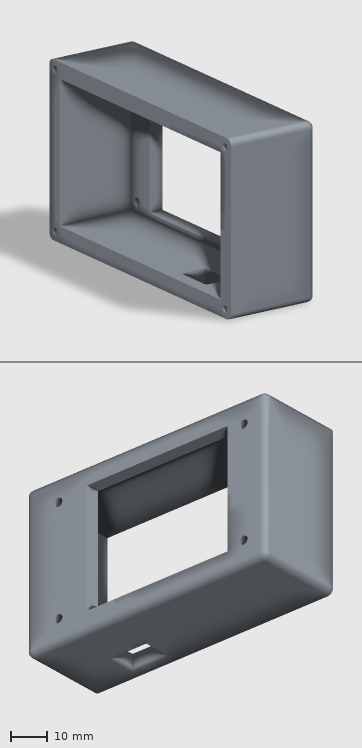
import cadquery as cq

length = 88.0
depth = 28.5
height = 52.8
edge_radius = 2.0

end_wall = 5.0
side_wall = 4.9
back_thickness = 4.5
cavity_length = length - 2 * end_wall
cavity_height = height - 2 * side_wall
cavity_depth = depth - back_thickness

window_left = -30.1
window_length = 51.6
window_height = 39.6
window_center_z = 0.1

mount_diameter = 2.8
mount_spacing_x = 68.0
mount_spacing_z = 36.7
mount_center_x = -2.0

screw_diameter = 2.0
screw_inset = 2.8
screw_depth = 10.0

slot_length = 12.0
slot_width = 8.0
slot_right = 26.1
slot_front = 4.05
slot_mouth_radius = 1.0


def block(size_x, size_y, size_z, center_x, front_y, center_z):
    """Box whose front face lies at front_y."""
    box = cq.Workplane("XY").box(size_x, size_y, size_z, centered=(True, False, True))
    return box.translate((center_x, front_y, center_z))


def hole_pattern(spacing_x, spacing_z, center_x, diameter, hole_depth):
    """Four round cutters at the corners of a rectangle, running from Y = 0 toward +Y."""
    holes = (
        cq.Workplane("XZ")
        .rect(spacing_x, spacing_z, forConstruction=True)
        .vertices()
        .circle(diameter / 2)
        .extrude(-hole_depth)
    )
    return holes.translate((center_x, 0, 0))


body = block(length, depth, height, 0, 0, 0).edges("|Y or >Y").fillet(edge_radius)

cavity = block(cavity_length, cavity_depth, cavity_height, 0, 0, 0)

window_center_x = window_left + window_length / 2
window = block(window_length, depth, window_height, window_center_x, 0, window_center_z)

mount_holes = hole_pattern(mount_spacing_x, mount_spacing_z, mount_center_x, mount_diameter, depth)

screw_holes = hole_pattern(
    length - 2 * screw_inset, height - 2 * screw_inset, 0, screw_diameter, screw_depth
)

slot_center_x = slot_right - slot_length / 2
slot = block(slot_length, slot_width, height / 2, slot_center_x, slot_front, -height / 4)

case = body.cut(cavity).cut(window).cut(mount_holes).cut(screw_holes).cut(slot)

mouth_margin = 0.4
mouth_selector = cq.selectors.BoxSelector(
    (
        slot_center_x - slot_length / 2 - mouth_margin,
        slot_front - mouth_margin,
        -height / 2 - mouth_margin,
    ),
    (
        slot_center_x + slot_length / 2 + mouth_margin,
        slot_front + slot_width + mouth_margin,
        -height / 2 + mouth_margin,
    ),
)
result = case.edges(mouth_selector).fillet(slot_mouth_radius)